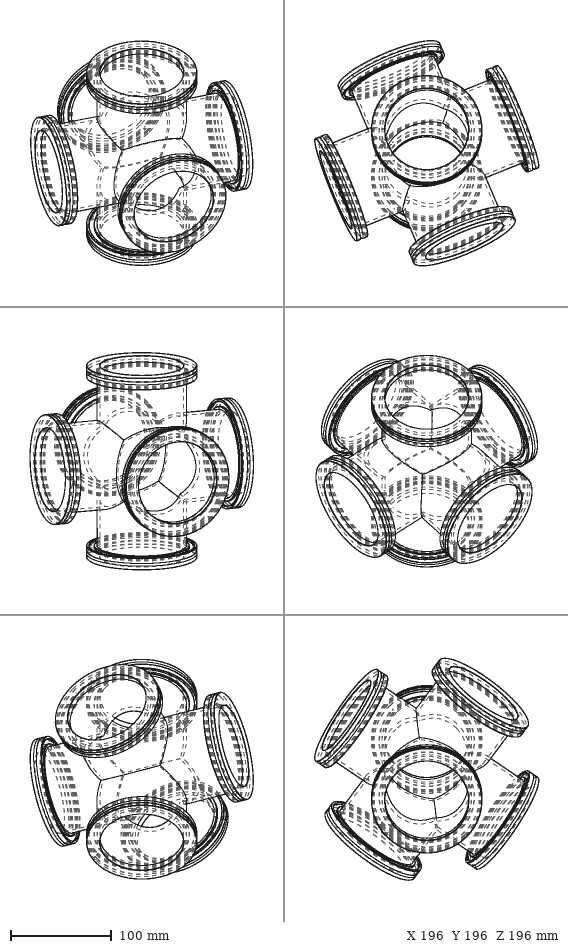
import cadquery as cq

span = 196.0
pipe_outer_radius = 89.0 / 2
pipe_wall = 3.0
bore_radius = pipe_outer_radius - pipe_wall

flange_radius = 110.0 / 2
flange_thickness = 12.0
edge_chamfer = 0.4
socket_depth = 5.3

rim_groove_offset = 5.3
rim_groove_radius = 1.4

relief_lip = 3.0
relief_width = 4.9
relief_depth = 2.0

half_span = span / 2
flange_back = half_span - flange_thickness
pipe_end = flange_back + socket_depth

axes = [cq.Vector(1, 0, 0), cq.Vector(0, 1, 0), cq.Vector(0, 0, 1)]
port_directions = [axis * sign for axis in axes for sign in (1, -1)]


def centred_cylinder(axis, radius):
    """Solid cylinder along one axis, as long as the pipes and centred on the origin."""
    return cq.Solid.makeCylinder(radius, 2 * pipe_end, axis * -pipe_end, axis)


def make_cross():
    """Six-way pipe body: three crossing pipes with their bores open to each other."""
    cross = cq.Workplane("XY")
    for axis in axes:
        cross = cross.add(centred_cylinder(axis, pipe_outer_radius))
    cross = cross.combine()
    for axis in axes:
        cross = cross.cut(cq.Workplane(centred_cylinder(axis, bore_radius)))
    return cross


def ring(outer_radius, inner_radius, bottom, height):
    """Plain ring around Z."""
    return cq.Workplane("XY", origin=(0, 0, bottom)).circle(outer_radius).circle(inner_radius).extrude(height)


def make_flange(direction):
    """Flange ring built on +Z, then turned so that its sealing face looks along the direction."""
    flange = ring(flange_radius, bore_radius, flange_back, flange_thickness)

    relief_inner_radius = pipe_outer_radius + relief_lip
    relief_outer_radius = relief_inner_radius + relief_width
    flange = flange.cut(ring(relief_outer_radius, relief_inner_radius, flange_back, relief_depth))

    flange = flange.faces(">Z or <Z").edges().chamfer(edge_chamfer)

    socket = cq.Workplane("XY", origin=(0, 0, flange_back)).circle(pipe_outer_radius).extrude(socket_depth)
    flange = flange.cut(socket)

    groove_centre = cq.Vector(0, 0, half_span - rim_groove_offset)
    groove = cq.Solid.makeTorus(flange_radius, rim_groove_radius, groove_centre)
    flange = flange.cut(cq.Workplane(groove))

    port_plane = cq.Plane(origin=(0, 0, 0), normal=direction)
    return flange.solids().val().moved(cq.Location(port_plane))


cross = make_cross()
flanges = [make_flange(direction) for direction in port_directions]

result = cq.Compound.makeCompound([cross.solids().val(), *flanges])